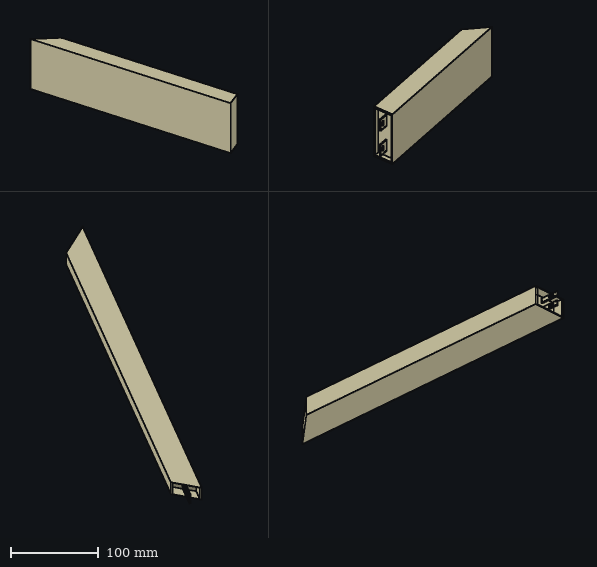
import cadquery as cq

LENGTH = 335.7
DEPTH = 30.0
HEIGHT = 60.0
END_SLOPE_RUN = 20.5
WALL = 2.0
RECESS_DEPTH = 10.0

TAB_THICKNESS = 1.5
TAB_WIDTH = 13.5
TAB_SPACING = 30.2
TAB_HOLE_DIAMETER = 5.7
TAB_HOLE_X = 8.0


def end_slope_x(y):
    """X of the sloped -X end at a given Y."""
    return END_SLOPE_RUN * y / DEPTH


def make_housing():
    """Sloped-end block with a rectangular recess in its -X end."""
    block = (
        cq.Workplane("XY")
        .polyline([
            (0, 0),
            (LENGTH, 0),
            (LENGTH - END_SLOPE_RUN, DEPTH),
            (END_SLOPE_RUN, DEPTH),
        ])
        .close()
        .extrude(HEIGHT)
    )
    front = WALL
    back = DEPTH - WALL
    recess = (
        cq.Workplane("XY")
        .workplane(offset=WALL)
        .polyline([
            (end_slope_x(front), front),
            (end_slope_x(front) + RECESS_DEPTH, front),
            (end_slope_x(back) + RECESS_DEPTH, back),
            (end_slope_x(back), back),
        ])
        .close()
        .extrude(HEIGHT - 2 * WALL)
    )
    return block.cut(recess)


def make_terminal(center_z):
    """Flat tab with a cross hole; its root follows the sloped recess floor."""
    front = (DEPTH - TAB_THICKNESS) / 2
    back = (DEPTH + TAB_THICKNESS) / 2
    tab = (
        cq.Workplane("XY")
        .workplane(offset=center_z - TAB_WIDTH / 2)
        .polyline([
            (0, front),
            (end_slope_x(front) + RECESS_DEPTH, front),
            (end_slope_x(back) + RECESS_DEPTH, back),
            (0, back),
        ])
        .close()
        .extrude(TAB_WIDTH)
    )
    hole = (
        cq.Workplane("XZ", origin=(TAB_HOLE_X, DEPTH / 2, center_z))
        .circle(TAB_HOLE_DIAMETER / 2)
        .extrude(TAB_THICKNESS, both=True)
    )
    return tab.cut(hole)


housing = make_housing()
terminals = []
for side in (-1, 1):
    terminals.append(make_terminal(HEIGHT / 2 + side * TAB_SPACING / 2))

result = cq.Compound.makeCompound([
    housing.val(),
    *[terminal.val() for terminal in terminals],
])